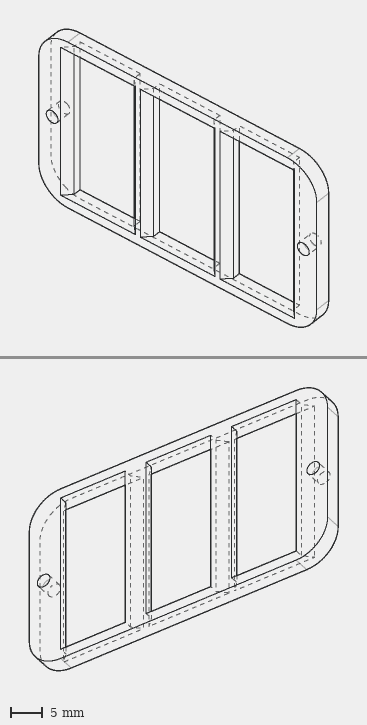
import cadquery as cq

plate_length = 56.9
plate_thickness = 3.0
plate_height = 34.0
corner_radius = 6.0

window_count = 3
window_width = 15.3
window_height = 30.3
bar_front_width = 1.0
window_pitch = window_width + bar_front_width

bevel = 1.5
throat_width = window_width - 2 * bevel

hole_diameter = 2.4
hole_spacing = 51.4

front_y = -plate_thickness / 2
back_y = plate_thickness / 2


def make_plate():
    """Rounded rectangular plate centred on the origin."""
    plate = cq.Workplane("XY").box(plate_length, plate_thickness, plate_height)
    return plate.edges("|Y").fillet(corner_radius)


def make_window(center_x):
    """Through window cutter: bevelled towards the front, straight towards the back."""
    mouth = window_width / 2
    throat = throat_width / 2
    profile = [
        (center_x - mouth, front_y),
        (center_x + mouth, front_y),
        (center_x + throat, front_y + bevel),
        (center_x + throat, back_y),
        (center_x - throat, back_y),
        (center_x - throat, front_y + bevel),
    ]
    return cq.Workplane("XY").polyline(profile).close().extrude(window_height / 2, both=True)


def make_mounting_holes():
    """Pair of through-hole cutters on the horizontal centre line."""
    hole_centers = [(-hole_spacing / 2, 0), (hole_spacing / 2, 0)]
    holes = cq.Workplane("XZ").pushPoints(hole_centers).circle(hole_diameter / 2)
    return holes.extrude(plate_thickness, both=True)


result = make_plate()
for index in range(window_count):
    window_x = (index - (window_count - 1) / 2) * window_pitch
    result = result.cut(make_window(window_x))
result = result.cut(make_mounting_holes())